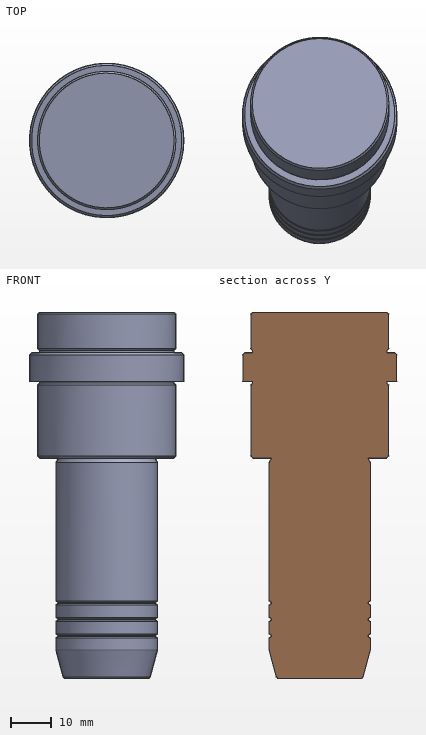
import cadquery as cq

total_height = 90.0

head_radius = 17.0
head_groove_radius = 16.6
head_edge = head_radius - head_groove_radius
cap_bottom = 81.1
cap_top_chamfer = 0.45
flange_radius = 19.0
flange_top = 80.1
flange_bottom = 73.0
flange_chamfer = 0.5
body_top = 72.6
body_bottom = 54.1
body_bottom_chamfer = 0.6

shank_radius = 12.5
shank_relief_radius = 12.0
shank_top = 53.1

groove_width = 1.0
groove_floor_width = 0.3
groove_pitch = 4.05
groove_count = 3
lowest_groove_bottom = 10.0

taper_top = 7.0
tip_radius = 10.7
tip_chamfer = 0.4
tip_end_radius = tip_radius - tip_chamfer


def ring_groove(bottom):
    """Return the points of one flared groove, from its lower edge up."""
    flare_height = (groove_width - groove_floor_width) / 2
    top = bottom + groove_width
    return [
        (shank_radius, bottom),
        (shank_relief_radius, bottom + flare_height),
        (shank_relief_radius, top - flare_height),
        (shank_radius, top),
    ]


tip_points = [
    (0, 0),
    (tip_end_radius, 0),
    (tip_radius, tip_chamfer),
    (shank_radius, taper_top),
]

groove_points = []
for index in range(groove_count):
    groove_points += ring_groove(lowest_groove_bottom + index * groove_pitch)

relief_points = [
    (shank_radius, shank_top),
    (shank_relief_radius, body_bottom),
]

body_points = [
    (head_radius - body_bottom_chamfer, body_bottom),
    (head_radius, body_bottom + body_bottom_chamfer),
    (head_radius, body_top - head_edge),
    (head_groove_radius, body_top),
    (head_groove_radius, flange_bottom),
]

flange_points = [
    (flange_radius, flange_bottom),
    (flange_radius, flange_top - flange_chamfer),
    (flange_radius - flange_chamfer, flange_top),
    (head_groove_radius, flange_top),
]

cap_points = [
    (head_groove_radius, cap_bottom - head_edge),
    (head_radius, cap_bottom),
    (head_radius, total_height - cap_top_chamfer),
    (head_radius - cap_top_chamfer, total_height),
    (0, total_height),
]

profile = tip_points + groove_points + relief_points + body_points + flange_points + cap_points

result = cq.Workplane("XZ").polyline(profile).close().revolve(360, (0, 0, 0), (0, 1, 0))